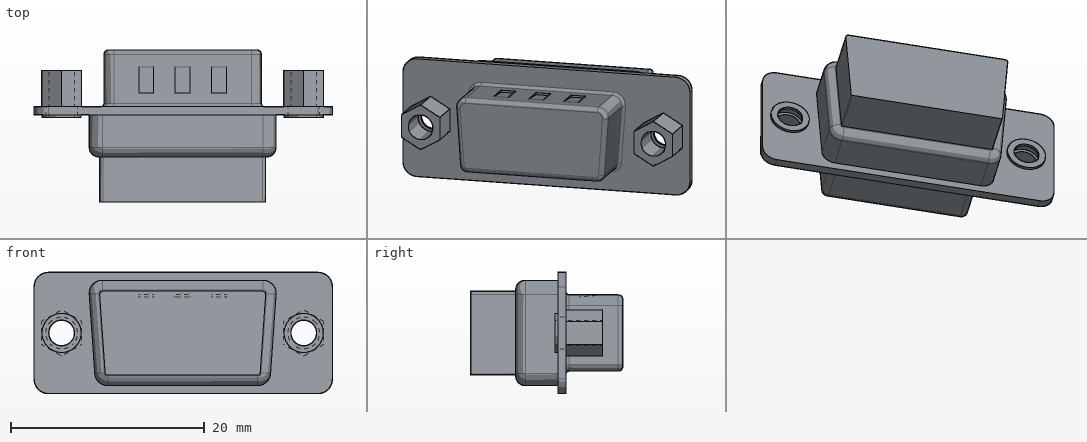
import cadquery as cq
import math

overlap = 0.15

plate_length = 30.8
plate_height = 12.55
plate_thickness = 0.85
plate_corner_radius = 1.5

centre_x = -0.05
side_angle = math.radians(4)

shroud_width = 18.73
shroud_height = 10.88
shroud_depth = 4.35
shroud_corner_radius = 1.35
shroud_rim_radius = 1.0

plug_width = 16.58
plug_height = 8.63
plug_reach = 9.0
plug_top_radius = 0.35
plug_bottom_radius = 0.1

shell_width = 15.87
shell_height = 7.9
shell_depth = 5.85
shell_top_radius = 1.05
shell_bottom_radius = 0.75
shell_rim_radius = 0.5
shell_root_radius = 0.3

recess_count = 3
recess_pitch = 3.75
recess_width = 1.55
recess_length = 2.7
recess_start = 1.4
recess_depth = 0.22

screw_spacing = 25.0
nut_across_flats = 4.13
nut_length = 3.73
collar_diameter = 4.05
collar_height = 0.28
bore_diameter = 2.62
clearance_diameter = 3.27

plate_back = plate_thickness
shell_end = plate_back + shell_depth


def y_plane(y, x=centre_x):
    """Plane at the given Y whose normal points to +Y (local x runs to -X, local y to +Z)."""
    return cq.Plane(origin=(x, y, 0), xDir=(-1, 0, 0), normal=(0, 1, 0))


def d_block(width, height, y_start, y_end, top_radius, bottom_radius):
    """Prism along Y with a symmetric D-shaped section, wider at the top, with rounded corners."""
    lean = height / 2 * math.tan(side_angle)
    top = width / 2 + lean
    bottom = width / 2 - lean
    corners = [(-top, height / 2), (top, height / 2), (bottom, -height / 2), (-bottom, -height / 2)]
    block = cq.Workplane(y_plane(y_start)).polyline(corners).close().extrude(y_end - y_start)
    block = block.edges("|Y and >Z").fillet(top_radius)
    return block.edges("|Y and <Z").fillet(bottom_radius)


def make_plate():
    plate = cq.Workplane(y_plane(0, x=0)).rect(plate_length, plate_height).extrude(plate_thickness)
    return plate.edges("|Y").fillet(plate_corner_radius)


def make_shroud():
    shroud = d_block(
        shroud_width, shroud_height, -shroud_depth, overlap, shroud_corner_radius, shroud_corner_radius
    )
    return shroud.faces("<Y").edges().fillet(shroud_rim_radius)


def make_plug():
    return d_block(plug_width, plug_height, -plug_reach, overlap, plug_top_radius, plug_bottom_radius)


def make_shell():
    shell = d_block(
        shell_width, shell_height, plate_back - overlap, shell_end, shell_top_radius, shell_bottom_radius
    )
    return shell.faces(">Y").edges().fillet(shell_rim_radius)


def fillet_shell_root(body):
    """Blend the rear shell into the plate's back face."""
    half_width = shell_width / 2 + shell_top_radius
    half_height = shell_height / 2 + shell_top_radius
    slab = cq.selectors.BoxSelector(
        (centre_x - half_width, plate_back - overlap, -half_height),
        (centre_x + half_width, plate_back + overlap, half_height),
    )
    return body.edges(slab).fillet(shell_root_radius)


def make_recesses():
    """Wedges whose floor drops from the shell's top face towards the plate."""
    top = shell_height / 2
    near = plate_back + recess_start
    far = near + recess_length
    wedge = (
        cq.Workplane("YZ")
        .polyline([(near, top), (far, top), (near, top - recess_depth)])
        .close()
        .extrude(recess_width / 2, both=True)
    )
    middle = (recess_count - 1) / 2
    places = [(centre_x + (index - middle) * recess_pitch, 0, 0) for index in range(recess_count)]
    return [wedge.translate(place) for place in places]


def at_screws(y):
    """Workplane at the given Y, facing +Y, holding both screw centres (local x runs to +Z)."""
    plane = cq.Plane(origin=(centre_x, y, 0), xDir=(0, 0, 1), normal=(0, 1, 0))
    return cq.Workplane(plane).pushPoints([(0, -screw_spacing / 2), (0, screw_spacing / 2)])


def screw_cylinders(diameter, y_start, y_end):
    return at_screws(y_start).circle(diameter / 2).extrude(y_end - y_start)


def make_nuts():
    """Hexagonal nuts with corners pointing up and down."""
    across_corners = nut_across_flats / math.cos(math.pi / 6)
    return at_screws(plate_back - overlap).polygon(6, across_corners).extrude(nut_length + overlap)


def make_collars():
    return screw_cylinders(collar_diameter, -collar_height, overlap)


def make_bores():
    """Through bores, widened to a clearance hole inside the plate."""
    bores = screw_cylinders(bore_diameter, -collar_height, plate_back + nut_length)
    return bores.union(screw_cylinders(clearance_diameter, 0, plate_back))


result = fillet_shell_root(make_plate().union(make_shell()))
for piece in (make_shroud(), make_plug(), make_nuts(), make_collars()):
    result = result.union(piece)
result = result.cut(make_bores())
for recess in make_recesses():
    result = result.cut(recess)